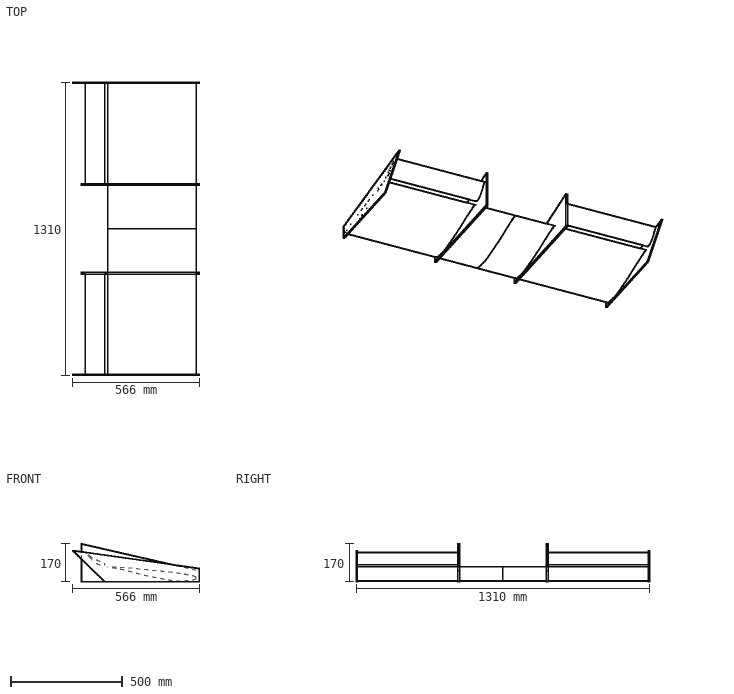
import cadquery as cq

length = 566.0
half_span = 655.0

outer_thickness = 5.0
outer_tip_height = 140.0
outer_foot_x = 144.0
outer_end_height = 60.0
outer_inboard_y = half_span - outer_thickness

inner_thickness = 8.0
inner_center_y = 198.0
inner_start_x = 39.0
inner_height = 170.0
inner_end_height = 50.0
inner_outboard_y = inner_center_y + inner_thickness / 2
inner_inboard_y = inner_center_y - inner_thickness / 2

wing_trailing = (156.0, 68.0)
wing_leading = (553.0, 18.0)
wing_upper = [(235.0, 65.0), (334.0, 55.0), (450.0, 43.0), (503.0, 35.0), (540.0, 28.0)]
wing_lower = [(540.0, 10.0), (514.0, 7.0), (482.0, 4.0), (406.0, 13.0), (321.0, 30.0), (238.0, 52.0)]

flap_trailing = (56.0, 132.0)
flap_leading = (144.0, 80.0)
flap_upper = [(70.0, 120.0), (84.0, 110.0), (109.0, 97.0), (134.0, 86.0)]
flap_lower = [(127.0, 76.0), (111.0, 80.0), (95.0, 90.0), (70.0, 118.0)]


def span_plane(y):
    """XZ plane at the given Y; negative extrusions run toward +Y."""
    return cq.Workplane("XZ", origin=(0, y, 0))


def airfoil(trailing, upper, leading, lower, y_start, y_end):
    """Airfoil bar with a sharp trailing edge and a rounded leading edge."""
    return (
        span_plane(y_start)
        .moveTo(*trailing)
        .spline(upper + [leading] + lower + [trailing], includeCurrent=True)
        .close()
        .extrude(y_start - y_end)
    )


def plate(outline, y_start, y_end):
    """Flat upright plate between two Y positions."""
    return span_plane(y_start).polyline(outline).close().extrude(y_start - y_end)


def make_wing():
    """Half of the main wing, from the centre line to the outer plate's inside face."""
    return airfoil(wing_trailing, wing_upper, wing_leading, wing_lower, 0, outer_inboard_y)


def make_flap():
    """Flap from the inner plate to the outer plate's inside face."""
    return airfoil(
        flap_trailing, flap_upper, flap_leading, flap_lower, inner_outboard_y, outer_inboard_y
    )


def make_outer_plate():
    """End plate with a raked front edge."""
    outline = [
        (0, outer_tip_height),
        (length, outer_end_height),
        (length, 0),
        (outer_foot_x, 0),
    ]
    return plate(outline, outer_inboard_y, half_span)


def make_inner_plate(wing):
    """Inner plate with an upright front edge, holed for the wing passing through."""
    outline = [
        (inner_start_x, inner_height),
        (length, inner_end_height),
        (length, 0),
        (inner_start_x, 0),
    ]
    return plate(outline, inner_inboard_y, inner_outboard_y).cut(wing)


wing = make_wing()
flap = make_flap()
outer_plate = make_outer_plate()
inner_plate = make_inner_plate(wing)

bodies = []
for body in (wing, flap, outer_plate, inner_plate):
    bodies.append(body.val())
    bodies.append(body.mirror("XZ").val())

result = cq.Compound.makeCompound(bodies)